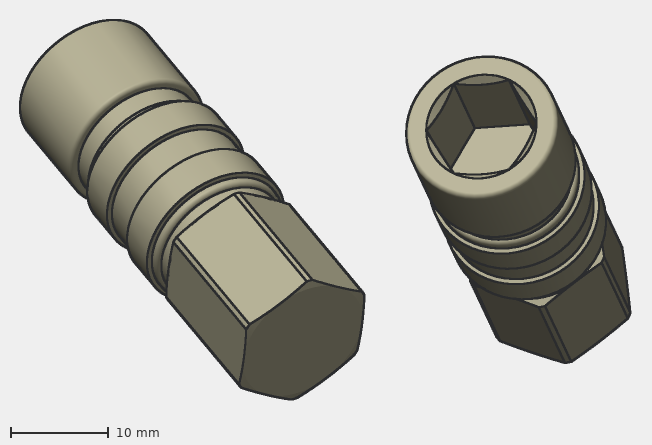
import cadquery as cq
import math

TOTAL_LENGTH = 45.0
NECK_DIAMETER = 14.0

COLLAR_DIAMETER = 15.8
COLLAR_LENGTH = 10.9
COLLAR_FILLET = 0.5

SLEEVE_DIAMETER = 15.1
SLEEVE_START = 13.45
SLEEVE_END = 28.0
SLEEVE_FILLET = 0.53
RING_DIAMETER = 16.15
RING_BASE_WIDTH = 4.28
RING_FLANK = 0.1
RING_CENTRES = (16.63, 24.88)

HEX_START = 29.45
HEX_ACROSS_FLATS = 14.0
HEX_CORNER_DIAMETER = 15.8
HEX_CORNER_ANGLE = 23.4
HEX_CHAMFER_LENGTH = 0.24
HEX_CHAMFER_DIAMETER = NECK_DIAMETER

SOCKET_ACROSS_FLATS = 9.9
SOCKET_DEPTH = 12.0
LEAD_IN_DIAMETER = 11.46
LEAD_IN_ANGLE = 45.0


def cylinder(diameter, start, end):
    """Solid cylinder on the X axis between two axial positions."""
    return cq.Workplane("YZ", origin=(start, 0, 0)).circle(diameter / 2).extrude(end - start)


def turned(profile):
    """Solid of revolution about X from (x, radius) points; the profile closes on the axis."""
    return cq.Workplane("XY").polyline(profile).close().revolve(360, (0, 0, 0), (1, 0, 0))


def hex_prism(across_flats, start, length):
    """Hexagonal prism along X with one corner on +Y."""
    corner_diameter = across_flats / math.cos(math.radians(30))
    return cq.Workplane("YZ", origin=(start, 0, 0)).polygon(6, corner_diameter).extrude(length)


def collar():
    return cylinder(COLLAR_DIAMETER, 0, COLLAR_LENGTH).edges("%CIRCLE").fillet(COLLAR_FILLET)


def sleeve():
    return cylinder(SLEEVE_DIAMETER, SLEEVE_START, SLEEVE_END).edges("%CIRCLE").fillet(SLEEVE_FILLET)


def grip_ring(centre):
    base_start = centre - RING_BASE_WIDTH / 2
    base_end = centre + RING_BASE_WIDTH / 2
    return turned([
        (base_start, 0),
        (base_start, SLEEVE_DIAMETER / 2),
        (base_start + RING_FLANK, RING_DIAMETER / 2),
        (base_end - RING_FLANK, RING_DIAMETER / 2),
        (base_end, SLEEVE_DIAMETER / 2),
        (base_end, 0),
    ])


def wrench_hexagon():
    prism = hex_prism(HEX_ACROSS_FLATS, HEX_START, TOTAL_LENGTH - HEX_START)
    prism = prism.rotate((0, 0, 0), (1, 0, 0), HEX_CORNER_ANGLE)
    corner_envelope = turned([
        (HEX_START, 0),
        (HEX_START, HEX_CHAMFER_DIAMETER / 2),
        (HEX_START + HEX_CHAMFER_LENGTH, HEX_CORNER_DIAMETER / 2),
        (TOTAL_LENGTH - HEX_CHAMFER_LENGTH, HEX_CORNER_DIAMETER / 2),
        (TOTAL_LENGTH, HEX_CHAMFER_DIAMETER / 2),
        (TOTAL_LENGTH, 0),
    ])
    return prism.intersect(corner_envelope)


def socket():
    lead_in_radius = LEAD_IN_DIAMETER / 2
    lead_in_depth = lead_in_radius / math.tan(math.radians(LEAD_IN_ANGLE))
    lead_in = turned([(0, 0), (0, lead_in_radius), (lead_in_depth, 0)])
    return hex_prism(SOCKET_ACROSS_FLATS, 0, SOCKET_DEPTH).union(lead_in)


body = cylinder(NECK_DIAMETER, COLLAR_LENGTH / 2, HEX_START)
body = body.union(collar()).union(sleeve())
for ring_centre in RING_CENTRES:
    body = body.union(grip_ring(ring_centre))
body = body.union(wrench_hexagon())

result = body.cut(socket())